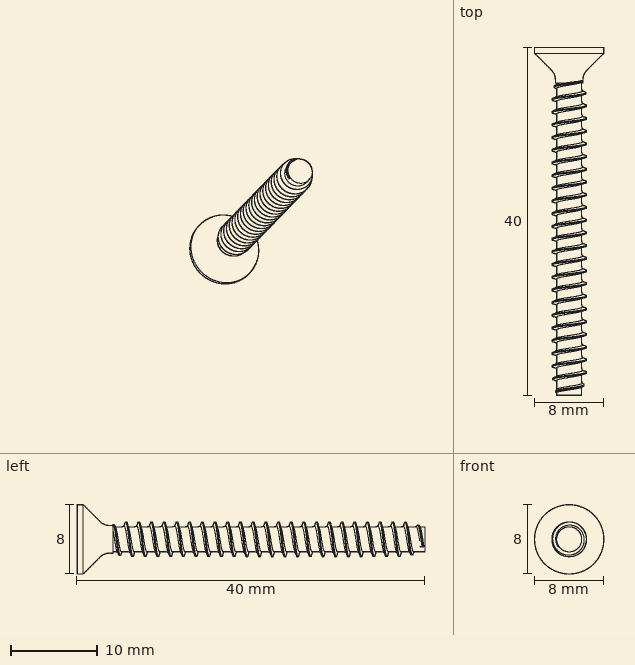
import cadquery as cq
import math

LENGTH = 40.0
HEAD_RADIUS = 4.0
RIM_HEIGHT = 0.7
HEAD_FILLET = 1.5
SHANK_RADIUS = 1.6
SHANK_END = 4.1
CORE_RADIUS = 1.45

CREST_RADIUS = 2.0
FULL_HEIGHT = CREST_RADIUS - CORE_RADIUS
CREST_HALF_WIDTH = 0.06
HEAD_SIDE_ROOT = -0.5
HEAD_SIDE_KNEE = -0.25
TIP_SIDE_ROOT = 0.2
KNEE_RISE = 0.15
ROOT_SINK = 0.1
THREAD_START = 3.8
START_DIRECTION = -math.pi / 2
THREAD_TURNS = 24.6
RUN_IN_TURNS = 1.2
RUN_OUT_TURNS = 1.4
END_HEIGHT = 0.1
END_MARGIN = 0.3
STEPS_PER_STRETCH = 12
MAX_STRETCH = 1.0

PITCH = (LENGTH - END_MARGIN - THREAD_START) / THREAD_TURNS


def screw_body():
    """Head, shank and core as one revolved outline."""
    cone_end_radius = SHANK_RADIUS + HEAD_FILLET * (1 - math.cos(math.pi / 4))
    cone_end = RIM_HEIGHT + HEAD_RADIUS - cone_end_radius
    fillet_end = cone_end + HEAD_FILLET * math.sin(math.pi / 4)
    arc_middle = (
        -(fillet_end - HEAD_FILLET * math.sin(math.pi / 8)),
        SHANK_RADIUS + HEAD_FILLET * (1 - math.cos(math.pi / 8)),
    )
    outline = (
        cq.Workplane("YZ")
        .lineTo(0, HEAD_RADIUS)
        .lineTo(-RIM_HEIGHT, HEAD_RADIUS)
        .lineTo(-cone_end, cone_end_radius)
        .threePointArc(arc_middle, (-fillet_end, SHANK_RADIUS))
        .lineTo(-SHANK_END, SHANK_RADIUS)
        .lineTo(-SHANK_END, CORE_RADIUS)
        .lineTo(-LENGTH, CORE_RADIUS)
        .lineTo(-LENGTH, 0)
        .close()
    )
    return outline.revolve(360, (0, 0, 0), (1, 0, 0))


def thread_height(turn):
    """Crest height above the core, rising at the shank and fading at the tip."""
    start_height = SHANK_RADIUS - CORE_RADIUS
    rising = start_height + (FULL_HEIGHT - start_height) * turn / RUN_IN_TURNS
    fading = END_HEIGHT + (FULL_HEIGHT - END_HEIGHT) * (THREAD_TURNS - turn) / RUN_OUT_TURNS
    return min(FULL_HEIGHT, rising, fading)


def thread_edge(first_turn, last_turn, offset, height_share, sink=0.0):
    """Helical edge traced by one corner of the thread profile over a stretch of turns."""
    points = []
    for step in range(STEPS_PER_STRETCH + 1):
        turn = first_turn + (last_turn - first_turn) * step / STEPS_PER_STRETCH
        angle = START_DIRECTION + 2 * math.pi * turn
        radius = CORE_RADIUS - sink + height_share * thread_height(turn)
        y = -(THREAD_START + PITCH * turn + offset)
        points.append(cq.Vector(-radius * math.sin(angle), y, radius * math.cos(angle)))
    return cq.Edge.makeSpline(points)


def profile_edges(first_turn, last_turn):
    """Edges of one stretch, in order around the profile from the head side to the tip side."""
    knee_slope = (HEAD_SIDE_KNEE - HEAD_SIDE_ROOT) / (KNEE_RISE * FULL_HEIGHT)
    tip_slope = (TIP_SIDE_ROOT - CREST_HALF_WIDTH) / FULL_HEIGHT
    corners = [
        (HEAD_SIDE_ROOT - knee_slope * ROOT_SINK, 0, ROOT_SINK),
        (HEAD_SIDE_KNEE, KNEE_RISE),
        (-CREST_HALF_WIDTH, 1),
        (CREST_HALF_WIDTH, 1),
        (TIP_SIDE_ROOT + tip_slope * ROOT_SINK, 0, ROOT_SINK),
    ]
    return [thread_edge(first_turn, last_turn, *corner) for corner in corners]


def end_cap(edges, end):
    """Flat face across the profile at the start (0) or finish (1) of the edges."""
    corners = [edge.positionAt(end) for edge in edges]
    return cq.Face.makeFromWires(cq.Wire.makePolygon(corners, close=True))


def thread():
    """Solid bounded by ruled faces between the helical edges and two end caps."""
    stretches = math.ceil(THREAD_TURNS / MAX_STRETCH)
    length = THREAD_TURNS / stretches
    runs = [profile_edges(i * length, (i + 1) * length) for i in range(stretches)]
    faces = [end_cap(runs[0], 0), end_cap(runs[-1], 1)]
    for edges in runs:
        for edge, neighbour in zip(edges, edges[1:] + edges[:1]):
            faces.append(cq.Face.makeRuledSurface(edge, neighbour))
    return cq.Workplane(cq.Solid.makeSolid(cq.Shell.makeShell(faces)))


result = screw_body().union(thread())